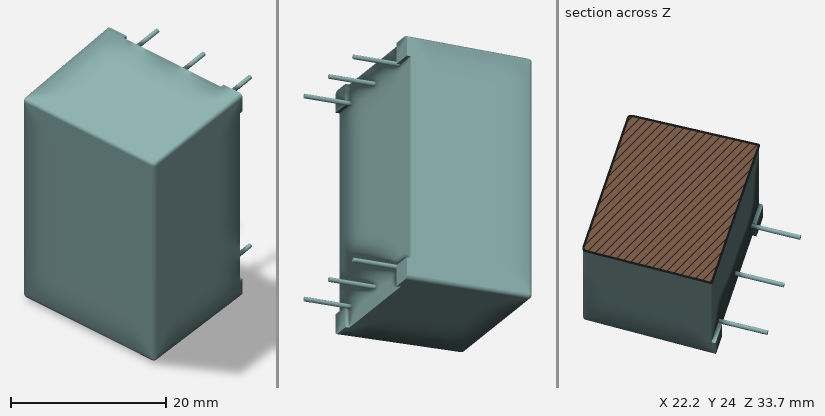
import cadquery as cq
import math

case_width = 22.2
case_height = 33.7
case_depth = 18.0
draft_angle = 0.8
edge_radius = 0.55

foot_height = 0.55
foot_width = 3.15
foot_length = 2.9

pin_diameter = 0.6
pin_projection = 6.0
pin_columns = 3
pin_pitch_x = 7.6
pin_pitch_z = 28.1

back_y = case_depth
recess_y = back_y - foot_height


def back_plane(y):
    """Plane facing +Y with local x along -X and local y along +Z."""
    return cq.Workplane(cq.Plane(origin=(0, y, 0), xDir=(-1, 0, 0), normal=(0, 1, 0)))


def make_case():
    """Drafted block with rounded side edges and rounded front edges."""
    taper = case_depth * math.tan(math.radians(draft_angle))
    block = (
        back_plane(0)
        .rect(case_width - 2 * taper, case_height - 2 * taper)
        .workplane(offset=case_depth)
        .rect(case_width, case_height)
        .loft(ruled=True)
    )
    return block.edges("not >Y").fillet(edge_radius)


def cut_standoff_recess(body):
    """Lower the back face in a cross shape so that only the corner feet remain."""
    upright = back_plane(recess_y).rect(case_width - 2 * foot_width, case_height).extrude(foot_height)
    crossbar = back_plane(recess_y).rect(case_width, case_height - 2 * foot_length).extrude(foot_height)
    return body.cut(upright).cut(crossbar)


def make_pins():
    """Round pins, rooted in the recessed face."""
    return (
        back_plane(recess_y)
        .rarray(pin_pitch_x, pin_pitch_z, pin_columns, 2)
        .circle(pin_diameter / 2)
        .extrude(foot_height + pin_projection)
    )


result = cut_standoff_recess(make_case()).union(make_pins())